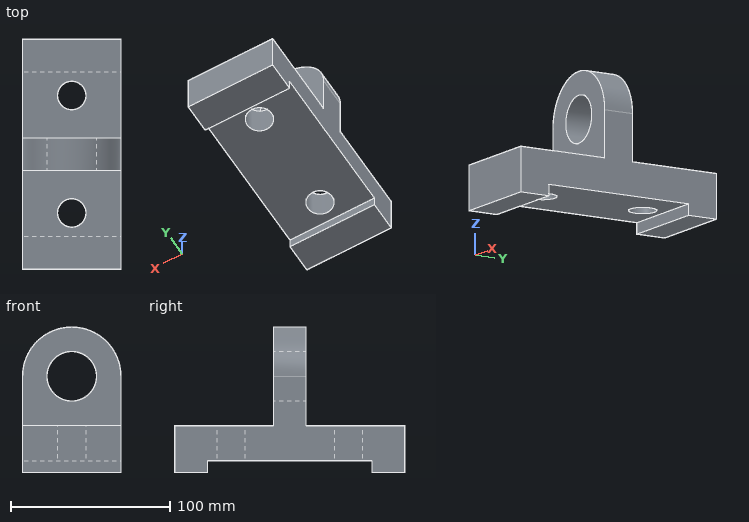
import cadquery as cq

width = 62.01
wall = width / 3
base_height = 29.53
foot_height = 7.38
bolt_hole_diameter = 17.72
bolt_spacing = 73.82

base_length = 2 * width + wall
lug_radius = width / 2
bore_diameter = width / 2
bore_height = base_height + lug_radius
relief_length = base_length - 2 * wall


def make_base():
    """Rectangular base, relieved underneath to leave a foot at each end."""
    block = cq.Workplane("XY").box(width, base_length, base_height, centered=(True, True, False))
    relief = cq.Workplane("XY").box(width, relief_length, foot_height, centered=(True, True, False))
    return block.cut(relief)


def make_lug():
    """Upright round-topped lug across the middle of the base."""
    return (
        cq.Workplane("XZ", origin=(0, wall / 2, 0))
        .moveTo(-lug_radius, base_height)
        .lineTo(lug_radius, base_height)
        .lineTo(lug_radius, bore_height)
        .threePointArc((0, bore_height + lug_radius), (-lug_radius, bore_height))
        .close()
        .extrude(wall)
    )


def make_bore():
    """Cylinder along Y that cuts the bore through the lug."""
    return (
        cq.Workplane("XZ", origin=(0, wall / 2, bore_height))
        .circle(bore_diameter / 2)
        .extrude(wall)
    )


def make_bolt_holes():
    """Vertical cylinders that cut one through hole in each pad."""
    centres = [(0, side * bolt_spacing / 2) for side in (-1, 1)]
    return cq.Workplane("XY").pushPoints(centres).circle(bolt_hole_diameter / 2).extrude(base_height)


result = make_base().union(make_lug()).cut(make_bore()).cut(make_bolt_holes())